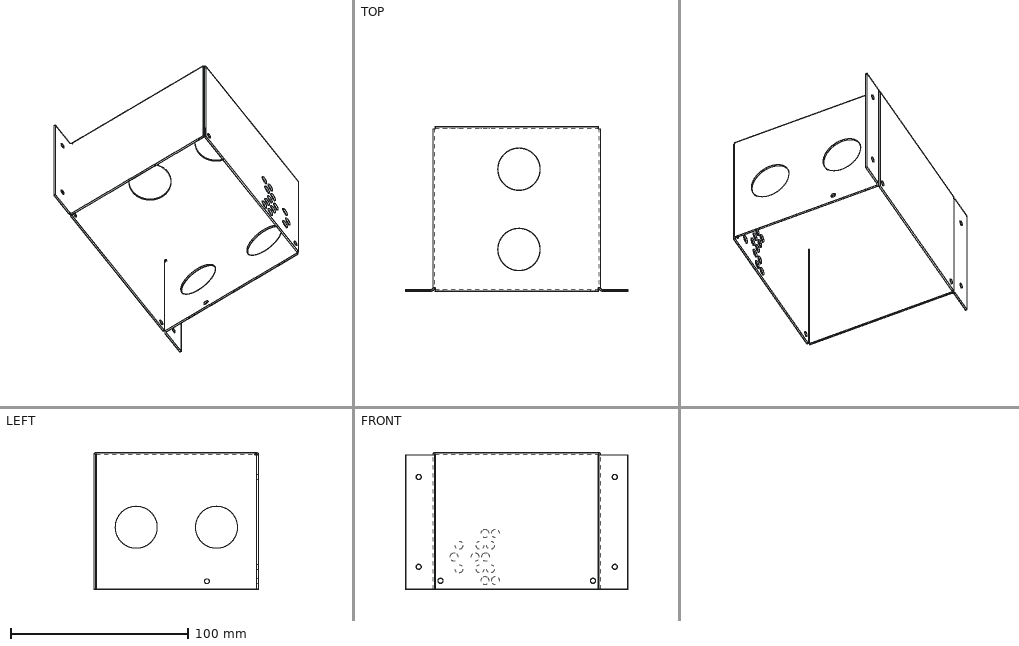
import cadquery as cq
import math

total_width = 125.3
depth = 92.7
height = 77.2

sheet = 1.0
outer_bend = 1.3
inner_bend = outer_bend - sheet
box_width = 94.6
panel_width = box_width - 2 * outer_bend

flange_inner_bend = 1.0
flange_outer_bend = flange_inner_bend + sheet
flange_height = height - outer_bend

cable_hole = 23.7
top_hole_x = 1.3
top_hole_y = (23.5, 68.8)
side_hole_y = (23.7, 68.9)
side_hole_z = 35.1

screw_hole = 2.8
panel_screw_x = 43.0
panel_screw_z = 4.9
flange_screw_x = 55.2
flange_screw_z = (12.8, 63.4)
side_screw_y = 29.0
side_screw_z = 4.6

vent_hole = 4.5
vent_row_pitch = 6.6
vent_row_shift = 2.8
vent_center_z = 18.3
chevrons = ((-35.3, 1), (-23.4, 2), (-17.5, 2))

cut_margin = 1.3


def folded_channel(span, length):
    """Upside-down U of sheet centred on the Z axis: span across X, length along Y."""
    def bar(inset, bend):
        return (
            cq.Workplane("XY")
            .box(span - 2 * inset, length, height - inset, centered=(True, True, False))
            .edges("|Y and >Z")
            .fillet(bend)
        )

    return bar(0, outer_bend).cut(bar(sheet, inner_bend))


def flange():
    """Right-hand flange with its bend, ending flush with the start of the side wall."""
    wall_outside = box_width / 2
    wall_inside = wall_outside - sheet
    bend_x = wall_outside + flange_inner_bend
    bend_y = flange_outer_bend
    bend_middle = math.sqrt(0.5)
    return (
        cq.Workplane("XY")
        .moveTo(total_width / 2, 0)
        .lineTo(bend_x, 0)
        .threePointArc(
            (bend_x - flange_outer_bend * bend_middle, bend_y - flange_outer_bend * bend_middle),
            (wall_inside, bend_y),
        )
        .lineTo(wall_outside, bend_y)
        .threePointArc(
            (bend_x - flange_inner_bend * bend_middle, bend_y - flange_inner_bend * bend_middle),
            (bend_x, sheet),
        )
        .lineTo(total_width / 2, sheet)
        .close()
        .extrude(flange_height)
    )


def shell():
    """Box open at the bottom; front and back stop short of the side walls at the corners."""
    side_start = flange_outer_bend
    side_end = depth - outer_bend
    side_walls = folded_channel(box_width, side_end - side_start)
    side_walls = side_walls.translate((0, (side_start + side_end) / 2, 0))
    front_and_back = folded_channel(depth, panel_width).rotate((0, 0, 0), (0, 0, 1), 90)
    front_and_back = front_and_back.translate((0, depth / 2, 0))
    right_flange = flange()
    return side_walls.union(front_and_back).union(right_flange).union(right_flange.mirror("YZ"))


def drill(start, direction, length, diameter):
    return cq.Workplane(cq.Solid.makeCylinder(diameter / 2, length, cq.Vector(*start), cq.Vector(*direction)))


def through_sheet(start, direction, diameter):
    """Cutter through one wall, starting outside it by the cut margin."""
    return drill(start, direction, sheet + 2 * cut_margin, diameter)


def through_left_wall(y, z, diameter):
    return through_sheet((-box_width / 2 - cut_margin, y, z), (1, 0, 0), diameter)


def cable_holes():
    above_top = height + cut_margin
    top = [through_sheet((top_hole_x, y, above_top), (0, 0, -1), cable_hole) for y in top_hole_y]
    side = [through_left_wall(y, side_hole_z, cable_hole) for y in side_hole_y]
    return top + side


def screw_holes():
    cutters = [through_left_wall(side_screw_y, side_screw_z, screw_hole)]
    for side in (-1, 1):
        start = (side * panel_screw_x, -cut_margin, panel_screw_z)
        cutters.append(drill(start, (0, 1, 0), depth + 2 * cut_margin, screw_hole))
        for z in flange_screw_z:
            cutters.append(through_sheet((side * flange_screw_x, -cut_margin, z), (0, 1, 0), screw_hole))
    return cutters


def vent_holes():
    cutters = []
    for tip_x, arm_holes in chevrons:
        for row in range(-arm_holes, arm_holes + 1):
            x = tip_x + abs(row) * vent_row_shift
            z = vent_center_z + row * vent_row_pitch
            cutters.append(through_sheet((x, depth + cut_margin, z), (0, -1, 0), vent_hole))
    return cutters


result = shell()
for cutter in cable_holes() + screw_holes() + vent_holes():
    result = result.cut(cutter)